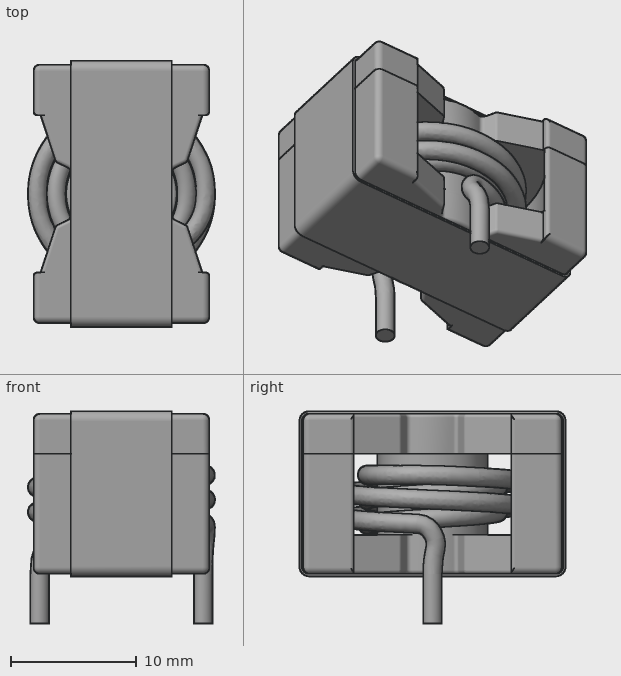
import cadquery as cq
import math


CORE_WIDTH = 13.97
CORE_LENGTH = 20.55
CORE_HEIGHT = 12.72
CORE_EDGE_RADIUS = 0.5

LEG_INNER_Y = 6.25
RECESS_OUTER_X = 6.44
WING_TIP_X = 5.2
WING_TIP_Y = 2.55
LEG_CORNER_RADIUS = 0.3
WING_TIP_RADIUS = 0.32
POST_CORNER_RADIUS = 0.34
RECESS_EDGE_RADIUS = 0.3
LOWER_WING_RADIUS = 0.28

POST_RADIUS = 8.8 / 2
POST_CORNER_X = POST_RADIUS * math.cos(math.atan2(WING_TIP_Y, WING_TIP_X))
POST_CORNER_Y = POST_RADIUS * math.sin(math.atan2(WING_TIP_Y, WING_TIP_X))
WINDOW_RADIUS = 9.06
WINDOW_TOP_Z = 3.18
WINDOW_BOTTOM_Z = -3.25

PICK_MARGIN = 0.21

BAND_WIDTH = 8.02
BAND_LENGTH = 21.17
BAND_THICKNESS = 0.21
BAND_HEIGHT = CORE_HEIGHT + 2 * BAND_THICKNESS
BAND_OUTER_RADIUS = 0.8

WIRE_RADIUS = 1.5 / 2
INNER_COIL_RADIUS = 5.19
OUTER_COIL_RADIUS = 14.9 / 2 - WIRE_RADIUS
COIL_PITCH = 1.97
COIL_START_Z = -2.43

COIL_SECTION_ANGLE = 60
COIL_STEP_ANGLE = 20
TANGENT_STEP_ANGLE = 1

COIL_START_ANGLE = 180 + 10
CLIMB_START_ANGLE = 270
CLIMB_END_ANGLE = 990
DESCENT_START_ANGLE = 1080
COIL_END_ANGLE = 1800 - 10

TOTAL_HEIGHT = 16.9
LEAD_X = 6.5
LEAD_TOP_Z = -CORE_HEIGHT / 2
LEAD_TIP_Z = BAND_HEIGHT / 2 - TOTAL_HEIGHT
LEAD_BEND_Z = -3.55
LEAD_BEND_Y = 0.2
INNER_LEAD_BEND_X = 5.6
OUTER_LEAD_BEND_X = 6.63


def recess_cutter(side):
    """Prism that removes the recess on the +X (side=1) or -X (side=-1) face."""
    outside_x = CORE_WIDTH
    return (
        cq.Workplane("XY", origin=(0, 0, -CORE_HEIGHT / 2))
        .moveTo(side * outside_x, LEG_INNER_Y)
        .lineTo(side * RECESS_OUTER_X, LEG_INNER_Y)
        .lineTo(side * WING_TIP_X, WING_TIP_Y)
        .lineTo(side * POST_CORNER_X, POST_CORNER_Y)
        .threePointArc((side * POST_RADIUS, 0), (side * POST_CORNER_X, -POST_CORNER_Y))
        .lineTo(side * WING_TIP_X, -WING_TIP_Y)
        .lineTo(side * RECESS_OUTER_X, -LEG_INNER_Y)
        .lineTo(side * outside_x, -LEG_INNER_Y)
        .close()
        .extrude(CORE_HEIGHT)
    )


def corner_box(x, y):
    """Selector for the edges in a narrow upright box around (x, y)."""
    return cq.selectors.BoxSelector(
        (x - PICK_MARGIN, y - PICK_MARGIN, -CORE_HEIGHT), (x + PICK_MARGIN, y + PICK_MARGIN, CORE_HEIGHT)
    )


def fillet_vertical(body, x, y, radius):
    """Round the four vertical edges at (+-x, +-y)."""
    selector = corner_box(x, y)
    for sx, sy in ((-1, 1), (-1, -1), (1, -1)):
        selector = selector + corner_box(sx * x, sy * y)
    return body.edges("|Z").edges(selector).fillet(radius)


def make_core_blank():
    """Rounded block with the side recesses, still without the winding window."""
    profile = cq.Workplane("XY").box(CORE_WIDTH, CORE_LENGTH, CORE_HEIGHT)
    for side in (1, -1):
        profile = profile.cut(recess_cutter(side))
    profile = fillet_vertical(profile, CORE_WIDTH / 2, LEG_INNER_Y, LEG_CORNER_RADIUS)
    profile = fillet_vertical(profile, WING_TIP_X, WING_TIP_Y, WING_TIP_RADIUS)
    profile = fillet_vertical(profile, POST_CORNER_X, POST_CORNER_Y, POST_CORNER_RADIUS)
    block = cq.Workplane("XY").box(CORE_WIDTH, CORE_LENGTH, CORE_HEIGHT).edges().fillet(CORE_EDGE_RADIUS)
    blank = block.intersect(profile)
    rim = cq.selectors.BoxSelector(
        (-CORE_WIDTH, PICK_MARGIN - LEG_INNER_Y, -CORE_HEIGHT),
        (CORE_WIDTH, LEG_INNER_Y - PICK_MARGIN, CORE_HEIGHT),
    )
    return blank.faces("<Z or >Z").edges(rim).fillet(RECESS_EDGE_RADIUS)


def core_slab(blank, bottom_z, top_z):
    """Part of the core blank between two heights."""
    slab = cq.Workplane("XY", origin=(0, 0, bottom_z)).rect(CORE_WIDTH, CORE_LENGTH).extrude(top_z - bottom_z)
    return blank.intersect(slab)


def make_upper_core(blank):
    """Plate that closes the core above the window."""
    return core_slab(blank, WINDOW_TOP_Z, CORE_HEIGHT / 2)


def make_base_plate(blank):
    """Plate below the window; its -X, -Y wing has a rounded upper rim."""
    plate = core_slab(blank, -CORE_HEIGHT / 2, WINDOW_BOTTOM_Z)
    wing_rim = cq.selectors.BoxSelector(
        (-RECESS_OUTER_X, -LEG_INNER_Y, WINDOW_BOTTOM_Z - PICK_MARGIN),
        (-WING_TIP_X, -WING_TIP_Y, WINDOW_BOTTOM_Z + PICK_MARGIN),
    )
    rounded = plate.edges(wing_rim).fillet(LOWER_WING_RADIUS)
    far_half = cq.Workplane("XY").box(CORE_WIDTH, CORE_LENGTH, CORE_HEIGHT).translate((0, CORE_LENGTH / 2, 0))
    return rounded.union(plate.intersect(far_half))


def make_lower_core(blank):
    """Base plate with the post and the two end legs."""
    window_height = WINDOW_TOP_Z - WINDOW_BOTTOM_Z
    window_floor = cq.Workplane("XY", origin=(0, 0, WINDOW_BOTTOM_Z))
    window = window_floor.circle(WINDOW_RADIUS).extrude(window_height)
    legs = core_slab(blank, WINDOW_BOTTOM_Z, WINDOW_TOP_Z).cut(window)
    post_foot_z = WINDOW_BOTTOM_Z - LOWER_WING_RADIUS
    post_foot = cq.Workplane("XY", origin=(0, 0, post_foot_z))
    post = post_foot.circle(POST_RADIUS).extrude(WINDOW_TOP_Z - post_foot_z)
    return make_base_plate(blank).union(legs).union(post)


def make_band():
    """Closed tape loop around the length and height of the core."""
    outer = (
        cq.Workplane("XY")
        .box(BAND_WIDTH, BAND_LENGTH, BAND_HEIGHT)
        .edges("|X")
        .fillet(BAND_OUTER_RADIUS)
    )
    opening = (
        cq.Workplane("XY")
        .box(BAND_WIDTH, BAND_LENGTH - 2 * BAND_THICKNESS, BAND_HEIGHT - 2 * BAND_THICKNESS)
        .edges("|X")
        .fillet(BAND_OUTER_RADIUS - BAND_THICKNESS)
    )
    return outer.cut(opening)


def coil_point(angle):
    """Point on the wire centre line at a winding angle in degrees."""
    climb = min(max(angle - CLIMB_START_ANGLE, 0), CLIMB_END_ANGLE - CLIMB_START_ANGLE)
    descent = max(angle - DESCENT_START_ANGLE, 0)
    z = COIL_START_Z + COIL_PITCH * (climb - descent) / 360
    crossing = (angle - CLIMB_END_ANGLE) / (DESCENT_START_ANGLE - CLIMB_END_ANGLE)
    crossing = min(max(crossing, 0), 1)
    ease = (1 - math.cos(math.pi * crossing)) / 2
    radius = INNER_COIL_RADIUS + (OUTER_COIL_RADIUS - INNER_COIL_RADIUS) * ease
    turn = math.radians(angle)
    return cq.Vector(radius * math.cos(turn), radius * math.sin(turn), z)


def coil_direction(angle):
    """Travel direction of the wire at a winding angle in degrees."""
    return (coil_point(angle + TANGENT_STEP_ANGLE) - coil_point(angle - TANGENT_STEP_ANGLE)).normalized()


def coil_sections():
    """Centre line of both layers as smoothly joined splines."""
    sections = []
    joints = range(CLIMB_START_ANGLE, COIL_END_ANGLE, COIL_SECTION_ANGLE)
    starts = [COIL_START_ANGLE, *joints]
    ends = [*joints, COIL_END_ANGLE]
    for start, end in zip(starts, ends):
        points = [coil_point(angle) for angle in range(start, end + 1, COIL_STEP_ANGLE)]
        sections.append(cq.Edge.makeSpline(points, tangents=[coil_direction(start), coil_direction(end)]))
    return sections


def make_winding():
    """One wire: lead, inner layer, outer layer and second lead."""
    up = cq.Vector(0, 0, 1)
    down = cq.Vector(0, 0, -1)
    first_tip = cq.Vector(-LEAD_X, 0, LEAD_TIP_Z)
    first_top = cq.Vector(-LEAD_X, 0, LEAD_TOP_Z)
    first_bend = cq.Vector(-INNER_LEAD_BEND_X, LEAD_BEND_Y, LEAD_BEND_Z)
    last_tip = cq.Vector(LEAD_X, 0, LEAD_TIP_Z)
    last_top = cq.Vector(LEAD_X, 0, LEAD_TOP_Z)
    last_bend = cq.Vector(OUTER_LEAD_BEND_X, LEAD_BEND_Y, LEAD_BEND_Z)

    coil_start = coil_point(COIL_START_ANGLE)
    coil_end = coil_point(COIL_END_ANGLE)
    start_direction = coil_direction(COIL_START_ANGLE)
    end_direction = coil_direction(COIL_END_ANGLE)

    path = cq.Wire.assembleEdges([
        cq.Edge.makeLine(first_tip, first_top),
        cq.Edge.makeSpline([first_top, first_bend, coil_start], tangents=[up, start_direction]),
        *coil_sections(),
        cq.Edge.makeSpline([coil_end, last_bend, last_top], tangents=[end_direction, down]),
        cq.Edge.makeLine(last_top, last_tip),
    ])
    return cq.Workplane("XY", origin=first_tip.toTuple()).circle(WIRE_RADIUS).sweep(path)


core_blank = make_core_blank()
upper_core = make_upper_core(core_blank)
lower_core = make_lower_core(core_blank)
band = make_band()
winding = make_winding()

result = cq.Compound.makeCompound([
    upper_core.solids().val(),
    lower_core.solids().val(),
    band.solids().val(),
    winding.val(),
])